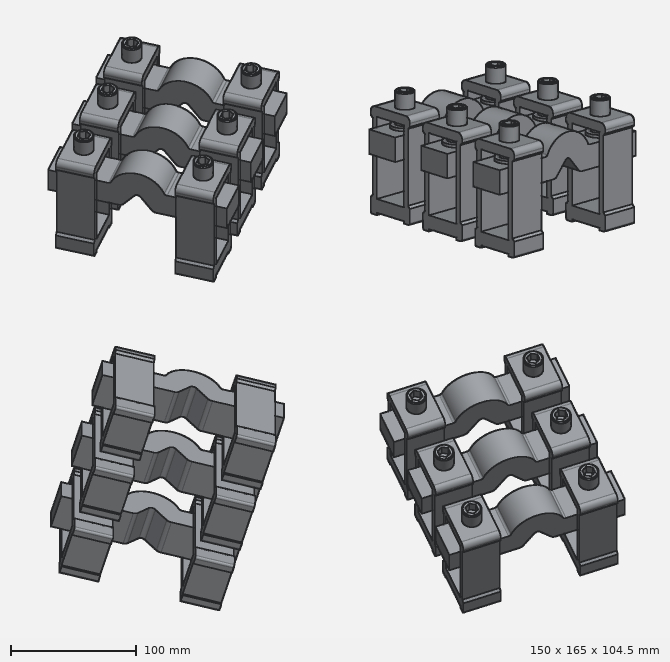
import cadquery as cq

busbar_count = 3
total_width = 165.0
clamp_depth = 45.0
clamp_width = 32.0
clamp_offset = 50.0
busbar_pitch = (total_width - clamp_depth) / (busbar_count - 1)

bar_length = 150.0
bar_depth = 30.0
bar_bottom = 53.1
bar_thickness = 20.5
bar_top = bar_bottom + bar_thickness
hump_radius = 24.5
hump_top = 89.5
hump_foot_fillet = 2.5
notch_half_width = 13.4
notch_height = 16.0
notch_tip_fillet = 3.3
notch_mouth_fillet = 5.0
selection_margin = 0.2

frame_height = 90.3
opening_depth = 31.2
opening_bottom = 13.5
opening_top = 82.0
bead_overhang = 2.1
top_bead_height = 10.2
bottom_bead_height = 16.0
top_round = 5.0
bottom_round = 2.0
foot_recess = 2.0

screw_top = 104.5
screw_diameter = 16.0
screw_chamfer = 1.0
flange_diameter = 24.0
flange_height = 3.0
flange_bevel_width = 2.3
flange_bevel_height = 0.5
socket_flats = 8.9
socket_depth = 8.0


def make_busbar():
    """Flat bar with a round hump on top and a V notch below it, centred on the Y origin."""
    bar = (
        cq.Workplane("XY")
        .box(bar_length, bar_depth, bar_thickness, centered=(True, True, False))
        .translate((0, 0, bar_bottom))
    )
    below_bar = cq.Workplane("XY").box(
        bar_length, clamp_depth, bar_bottom, centered=(True, True, False)
    )
    hump = (
        cq.Workplane("XZ")
        .center(0, hump_top - hump_radius)
        .circle(hump_radius)
        .extrude(bar_depth / 2, both=True)
        .cut(below_bar)
    )
    notch = (
        cq.Workplane("XZ")
        .moveTo(-notch_half_width, bar_bottom)
        .lineTo(0, bar_bottom + notch_height)
        .lineTo(notch_half_width, bar_bottom)
        .close()
        .extrude(clamp_depth, both=True)
    )
    busbar = bar.union(hump).cut(notch)

    hump_feet = cq.selectors.BoxSelector(
        (-hump_radius, -bar_depth, bar_top - selection_margin),
        (hump_radius, bar_depth, bar_top + selection_margin),
    )
    busbar = busbar.edges("|Y").edges(hump_feet).fillet(hump_foot_fillet)
    notch_tip = cq.selectors.BoxSelector(
        (-selection_margin, -bar_depth, bar_bottom),
        (selection_margin, bar_depth, bar_bottom + notch_height + selection_margin),
    )
    busbar = busbar.edges("|Y").edges(notch_tip).fillet(notch_tip_fillet)
    notch_mouth = cq.selectors.BoxSelector(
        (-hump_radius, -bar_depth, bar_bottom - selection_margin),
        (hump_radius, bar_depth, bar_bottom + selection_margin),
    )
    return busbar.edges("|Y").edges(notch_mouth).fillet(notch_mouth_fillet)


def make_frame():
    """Rectangular frame, open along X, with a wider bead at its top and bottom."""
    half_bead = clamp_depth / 2
    half_wall = half_bead - bead_overhang
    half_opening = opening_depth / 2
    top_bead_bottom = frame_height - top_bead_height
    right_side = [
        (half_opening, foot_recess),
        (half_opening, 0),
        (half_bead, 0),
        (half_bead, bottom_bead_height - bead_overhang),
        (half_wall, bottom_bead_height),
        (half_wall, top_bead_bottom),
        (half_bead, top_bead_bottom + bead_overhang),
        (half_bead, frame_height),
    ]
    left_side = [(-y, z) for y, z in reversed(right_side)]
    frame = (
        cq.Workplane("YZ").polyline(right_side + left_side).close().extrude(clamp_width / 2, both=True)
    )
    frame = frame.edges("|X and >Z").fillet(top_round)
    frame = frame.edges("|X and <Z").edges("<Y or >Y").fillet(bottom_round)
    opening = (
        cq.Workplane("XY")
        .box(clamp_width, opening_depth, opening_top - opening_bottom, centered=(True, True, False))
        .translate((0, 0, opening_bottom))
    )
    return frame.cut(opening)


def make_screw():
    """Socket screw whose bevelled flange rests on the busbar."""
    shank = (
        cq.Workplane("XY", origin=(0, 0, bar_top))
        .circle(screw_diameter / 2)
        .extrude(screw_top - bar_top)
        .faces(">Z")
        .chamfer(screw_chamfer)
    )
    flange = (
        cq.Workplane("XY", origin=(0, 0, bar_top))
        .circle(flange_diameter / 2)
        .extrude(flange_height)
        .faces(">Z")
        .chamfer(flange_bevel_height, flange_bevel_width)
    )
    socket = (
        cq.Workplane("XY", origin=(0, 0, screw_top))
        .polygon(6, socket_flats, circumscribed=True)
        .extrude(-socket_depth)
    )
    return shank.union(flange).cut(socket)


def make_clamp():
    """One solid: the frame together with its screw."""
    return make_frame().union(make_screw())


busbar = make_busbar()
clamp = make_clamp()
busbars = []
clamps = []
for row in range(busbar_count):
    row_y = (row - (busbar_count - 1) / 2) * busbar_pitch
    busbars.append(busbar.translate((0, row_y, 0)).val())
    for side in (-1, 1):
        clamps.append(clamp.translate((side * clamp_offset, row_y, 0)).val())

result = cq.Compound.makeCompound([*busbars, *clamps])